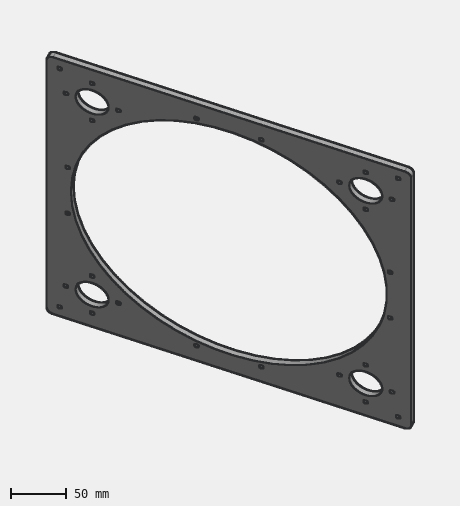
import cadquery as cq

side = 355.5
thickness = 6.5
corner_radius = 6.5

opening_diameter = 308.0
bolt_offset_along_edge = 31.5
bolt_offset_from_center = 157.0

port_offset = 133.5
port_diameter = 32.0
port_screw_radius = 25.5

corner_hole_offset = 165.0

small_hole_diameter = 4.3


def four_corners(x, z):
    """Mirror a point into all four quadrants of the plate."""
    return [(sx * x, sz * z) for sx in (-1, 1) for sz in (-1, 1)]


def drill(plate, points, diameter):
    """Cut through holes of one diameter at the given points."""
    return plate.faces("<Y").workplane(origin=(0, 0, 0)).pushPoints(points).hole(diameter)


plate = (
    cq.Workplane("XY")
    .box(side, thickness, side)
    .edges("|Y")
    .fillet(corner_radius)
)

port_centers = four_corners(port_offset, port_offset)
port_screws = [
    (x + dx * port_screw_radius, z + dz * port_screw_radius)
    for x, z in port_centers
    for dx, dz in ((1, 0), (0, 1), (-1, 0), (0, -1))
]
opening_bolts = (
    four_corners(bolt_offset_along_edge, bolt_offset_from_center)
    + four_corners(bolt_offset_from_center, bolt_offset_along_edge)
)
corner_holes = four_corners(corner_hole_offset, corner_hole_offset)

plate = drill(plate, [(0, 0)], opening_diameter)
plate = drill(plate, port_centers, port_diameter)
plate = drill(plate, port_screws + opening_bolts + corner_holes, small_hole_diameter)

result = plate